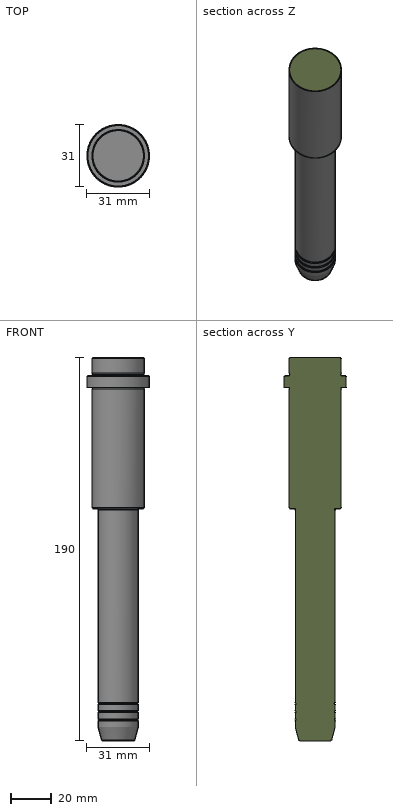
import cadquery as cq
import math

total_length = 190.0
head_length = 9.0
collar_thickness = 6.0
fit_length = 60.0

fit_diameter = 26.0
collar_diameter = 31.0
shank_diameter = 20.0

head_chamfer = 0.5
collar_chamfer = 0.5
fit_chamfer = 0.6
tip_chamfer = 0.5

taper_length = 7.0
taper_angle = 15.0

groove_count = 3
groove_pitch = 4.0
groove_width = 1.0
groove_depth = 0.5
lowest_groove_z = 10.6

head_groove_width = 1.2
head_groove_depth = 0.3

relief_depth = 0.2
relief_width = 0.6

collar_top_z = total_length - head_length
collar_bottom_z = collar_top_z - collar_thickness
fit_bottom_z = collar_bottom_z - fit_length


def cylinder(diameter, bottom_z, top_z):
    """Solid cylinder about Z."""
    return cq.Workplane("XY").workplane(offset=bottom_z).circle(diameter / 2).extrude(top_z - bottom_z)


def make_tip():
    """Tapered lead-in, chamfered at its small end."""
    shank_radius = shank_diameter / 2
    tip_radius = shank_radius - taper_length * math.tan(math.radians(taper_angle))
    return (
        cq.Workplane("XZ")
        .lineTo(tip_radius, 0)
        .lineTo(shank_radius, taper_length)
        .lineTo(0, taper_length)
        .close()
        .revolve(360, (0, 0, 0), (0, 1, 0))
        .faces("<Z")
        .chamfer(tip_chamfer)
    )


def make_shank():
    """Long guiding shank above the tip."""
    return cylinder(shank_diameter, taper_length, fit_bottom_z)


def make_fit_section():
    """Mounting section below the collar, chamfered at its lower end."""
    return cylinder(fit_diameter, fit_bottom_z, collar_bottom_z).faces("<Z").chamfer(fit_chamfer)


def make_collar():
    """Locating collar, chamfered on its upper rim."""
    return cylinder(collar_diameter, collar_bottom_z, collar_top_z).faces(">Z").chamfer(collar_chamfer)


def make_head():
    """Head above the collar, chamfered on its upper rim."""
    return cylinder(fit_diameter, collar_top_z, total_length).faces(">Z").chamfer(head_chamfer)


def v_groove(diameter, center_z, width, depth):
    """Ring cutter of V section, pointing inwards from a cylinder surface."""
    radius = diameter / 2
    return (
        cq.Workplane("XZ")
        .moveTo(radius, center_z - width / 2)
        .lineTo(radius - depth, center_z)
        .lineTo(radius, center_z + width / 2)
        .close()
        .revolve(360, (0, 0, 0), (0, 1, 0))
    )


def relief(diameter, shoulder_z):
    """Ring cutter of rectangular section, directly below a shoulder."""
    bottom_z = shoulder_z - relief_width
    core = cylinder(diameter - 2 * relief_depth, bottom_z, shoulder_z)
    return cylinder(diameter, bottom_z, shoulder_z).cut(core)


result = make_tip().union(make_shank()).union(make_fit_section()).union(make_collar()).union(make_head())

for index in range(groove_count):
    groove_z = lowest_groove_z + index * groove_pitch
    result = result.cut(v_groove(shank_diameter, groove_z, groove_width, groove_depth))

head_groove_z = collar_top_z + head_groove_width / 2
result = result.cut(v_groove(fit_diameter, head_groove_z, head_groove_width, head_groove_depth))

result = result.cut(relief(fit_diameter, collar_bottom_z))
result = result.cut(relief(shank_diameter, fit_bottom_z))